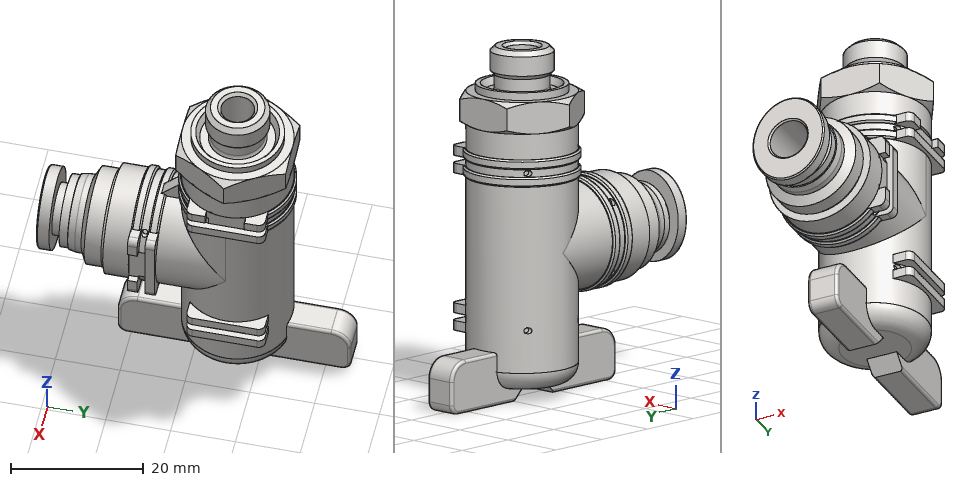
import cadquery as cq
import math


barrel_diameter = 17.0
barrel_radius = barrel_diameter / 2
barrel_bottom = -17.95
branch_end = 18.95

hex_flats = barrel_diameter
hex_bottom = 18.95
hex_top = 23.85
hex_chamfer_angle = 30
seat_radius = 7.05
seat_top = 25.05
seat_recess_top_radius = 6.3
seat_recess_depth = 1.7
neck_radius = 4.2
neck_fillet = 1.25
thread_radius = 4.85
thread_start = 27.1
thread_top = 30.8
thread_chamfer = 0.75
thread_runout = thread_radius - neck_radius
nipple_bore_radius = 2.55
nipple_bore_depth = 16.2
bore_chamfer = 0.5

cartridge_radius = 7.55
cartridge_chamfer = 0.5
cartridge_shoulder_start = 22.0
cartridge_shoulder_end = 22.8
nose_radius = 6.05
nose_taper_start = 23.8
nose_taper_end = 25.0
nose_taper_radius = 5.8
tip_radius = 5.6
tip_end = 26.35
sleeve_radius = 4.05
collar_start = 27.8
collar_end = 29.8
collar_half_width = 6.0
collar_half_height = 7.0
collar_chamfer = 0.2
tube_bore_radius = 3.15
tube_bore_depth = 16.2
tube_bore_chamfer = 0.25

clip_distance = 12.9
foot_clip_distance = 11.4
clip_width = 4.2
clip_band_width = 1.5
ring_height = 0.405
ring_chamfer = 0.25
tab_half_length = 6.05
tab_face = 9.05
tab_corner_radius = 1.0
tab_floor = tab_face - tab_corner_radius
tab_notch_half_length = tab_half_length / 2
hole_radius = 0.46
hole_offset = 5.5
hole_depth = 0.55

gusset_width = 2.0
gusset_reach = 11.9

cap_radius = barrel_radius
cap_fillet = 3.0
cap_bottom = barrel_bottom - cap_fillet
wing_half_span = 17.95
wing_width = 5.0
wing_top = -15.0
wing_bottom = -23.15
wing_upper_radius = 3.0
wing_lower_radius = 1.5
wing_edge_fillet = 0.5
wing_gap_half_length = 2.25


def along_stem(shape):
    """Leave a shape built along +Z on the stem axis."""
    return shape


def along_branch(shape):
    """Turn a shape built along +Z onto the branch axis, keeping +X in place."""
    return shape.rotate((0, 0, 0), (1, 0, 0), 90)


def cylinder(radius, start, end):
    return cq.Workplane("XY").workplane(offset=start).circle(radius).extrude(end - start)


def block(x_range, y_range, z_range):
    size = [high - low for low, high in (x_range, y_range, z_range)]
    corner = (x_range[0], y_range[0], z_range[0])
    return cq.Workplane("XY").box(*size, centered=False).translate(corner)


def revolve_about_z(outline):
    return outline.close().revolve(360, (0, 0, 0), (0, 1, 0))


def make_hexagon():
    """Hexagon across the barrel, with both ends chamfered down to its flats."""
    corner_radius = hex_flats / 2 / math.cos(math.radians(30))
    drop = (corner_radius - hex_flats / 2) * math.tan(math.radians(hex_chamfer_angle))
    prism = (
        cq.Workplane("XY")
        .workplane(offset=hex_bottom)
        .polygon(6, 2 * corner_radius)
        .extrude(hex_top - hex_bottom)
    )
    envelope = revolve_about_z(
        cq.Workplane("XZ")
        .moveTo(0, hex_bottom)
        .lineTo(hex_flats / 2, hex_bottom)
        .lineTo(corner_radius, hex_bottom + drop)
        .lineTo(corner_radius, hex_top - drop)
        .lineTo(hex_flats / 2, hex_top)
        .lineTo(0, hex_top)
    )
    return prism.intersect(envelope)


def make_nipple():
    """Seat with a ring-shaped recess around the neck, then the thread."""
    recess_floor = seat_top - seat_recess_depth
    recess_floor_radius = neck_radius + neck_fillet
    fillet_middle = neck_fillet * (1 - math.sqrt(0.5))
    return revolve_about_z(
        cq.Workplane("XZ")
        .moveTo(0, hex_bottom)
        .lineTo(seat_radius, hex_bottom)
        .lineTo(seat_radius, seat_top)
        .lineTo(seat_recess_top_radius, seat_top)
        .lineTo(recess_floor_radius, recess_floor)
        .threePointArc(
            (neck_radius + fillet_middle, recess_floor + fillet_middle),
            (neck_radius, recess_floor + neck_fillet),
        )
        .lineTo(neck_radius, thread_start - thread_runout)
        .lineTo(thread_radius, thread_start)
        .lineTo(thread_radius, thread_top - thread_chamfer)
        .lineTo(thread_radius - thread_chamfer, thread_top)
        .lineTo(0, thread_top)
    )


def make_cartridge():
    """Stepped push-in cartridge and the sleeve that carries the collar."""
    return revolve_about_z(
        cq.Workplane("XZ")
        .moveTo(0, 0)
        .lineTo(cartridge_radius - cartridge_chamfer, 0)
        .lineTo(cartridge_radius - cartridge_chamfer, branch_end)
        .lineTo(cartridge_radius, branch_end + cartridge_chamfer)
        .lineTo(cartridge_radius, cartridge_shoulder_start)
        .lineTo(nose_radius, cartridge_shoulder_end)
        .lineTo(nose_radius, nose_taper_start)
        .lineTo(nose_taper_radius, nose_taper_end)
        .lineTo(tip_radius, nose_taper_end)
        .lineTo(tip_radius, tip_end)
        .lineTo(sleeve_radius, tip_end)
        .lineTo(sleeve_radius, collar_start)
        .lineTo(0, collar_start)
    )


def make_collar():
    """Oval release collar at the end of the sleeve."""
    return (
        cq.Workplane("XY")
        .workplane(offset=collar_start)
        .ellipse(collar_half_width, collar_half_height)
        .extrude(collar_end - collar_start)
        .faces(">Z")
        .chamfer(collar_chamfer)
    )


def make_bore(radius, end, depth, chamfer):
    """Blind bore with a chamfered mouth, opening towards +Z."""
    return revolve_about_z(
        cq.Workplane("XZ")
        .moveTo(0, end - depth)
        .lineTo(radius, end - depth)
        .lineTo(radius, end - chamfer)
        .lineTo(radius + chamfer, end)
        .lineTo(0, end)
    )


def band_starts(distance):
    """Lower ends of the two bands of a clip."""
    first = distance - clip_width / 2
    return [first, first + clip_width - clip_band_width]


def make_ring(start):
    """Chamfered band round the barrel."""
    band = cylinder(barrel_radius + ring_height, start, start + clip_band_width)
    return band.edges().chamfer(ring_chamfer)


def make_tab(start):
    """Plate on the +X side of the barrel with its two outer corners rounded."""
    plate = block(
        (0, tab_face),
        (-tab_half_length, tab_half_length),
        (start, start + clip_band_width),
    )
    return plate.edges("|Z and >X").fillet(tab_corner_radius)


def make_tab_floor(distance):
    """Cutter for the flat between the two tabs of a clip."""
    low, high = band_starts(distance)
    return block(
        (tab_floor, tab_face),
        (-tab_half_length, tab_half_length),
        (low + clip_band_width, high),
    )


def make_tab_notch(distance):
    """Cutter for the notch in the middle of the outer tab of a clip."""
    start = band_starts(distance)[1]
    return block(
        (tab_floor, tab_face),
        (-tab_notch_half_length, tab_notch_half_length),
        (start, start + clip_band_width),
    )


def make_clip_holes(distance):
    """Four shallow holes parallel to X, with floors concentric to the barrel."""
    holes = (
        cq.Workplane("YZ")
        .pushPoints([(-hole_offset, distance), (hole_offset, distance)])
        .circle(hole_radius)
        .extrude(barrel_radius, both=True)
    )
    core = cylinder(barrel_radius - hole_depth, distance - hole_radius, distance + hole_radius)
    return holes.cut(core)


def make_gusset():
    """45 degree web from the barrel to the top of the branch."""
    far = barrel_radius + gusset_reach
    return (
        cq.Workplane("YZ")
        .polyline([(0, barrel_radius), (0, 0), (-gusset_reach, 0), (-gusset_reach, far - gusset_reach),
                   (gusset_reach - far, gusset_reach), (0, gusset_reach)])
        .close()
        .extrude(gusset_width / 2, both=True)
    )


def make_housing():
    body = cylinder(barrel_radius, barrel_bottom, hex_bottom)
    body = body.union(along_branch(cylinder(barrel_radius, 0, branch_end)))
    body = body.union(make_hexagon()).union(make_nipple())
    body = body.union(along_branch(make_cartridge().union(make_collar())))
    body = body.union(make_gusset())
    for place in (along_stem, along_branch):
        for start in band_starts(clip_distance):
            body = body.union(place(make_ring(start))).union(place(make_tab(start)))
    for start in band_starts(-foot_clip_distance):
        body = body.union(make_tab(start))
    for place in (along_stem, along_branch):
        body = body.cut(place(make_tab_notch(clip_distance)))
    for place, distance in (
        (along_stem, clip_distance),
        (along_branch, clip_distance),
        (along_stem, -foot_clip_distance),
    ):
        body = body.cut(place(make_tab_floor(distance)))
        body = body.cut(place(make_clip_holes(distance)))
    body = body.cut(make_bore(nipple_bore_radius, thread_top, nipple_bore_depth, bore_chamfer))
    tube_bore = make_bore(tube_bore_radius, collar_end, tube_bore_depth, tube_bore_chamfer)
    return body.cut(along_branch(tube_bore))


def make_cap():
    """Disc with a full-height rounded lower edge."""
    flat_radius = cap_radius - cap_fillet
    middle = cap_fillet * math.sqrt(0.5)
    return revolve_about_z(
        cq.Workplane("XZ")
        .moveTo(0, barrel_bottom)
        .lineTo(cap_radius, barrel_bottom)
        .threePointArc(
            (flat_radius + middle, barrel_bottom - middle),
            (flat_radius, cap_bottom),
        )
        .lineTo(0, cap_bottom)
    )


def make_wings():
    """Bar with rounded ends, hollowed for the barrel and notched below the cap."""
    bar = block(
        (-wing_width / 2, wing_width / 2),
        (-wing_half_span, wing_half_span),
        (wing_bottom, wing_top),
    )
    bar = bar.edges("|X and >Z").fillet(wing_upper_radius)
    bar = bar.edges("|X and <Z").fillet(wing_lower_radius)
    bar = bar.faces("<X or >X").edges().fillet(wing_edge_fillet)
    gap_depth = cap_bottom - wing_bottom
    gap_lower_half = wing_gap_half_length + gap_depth
    gap = (
        cq.Workplane("YZ")
        .polyline([(-wing_gap_half_length, cap_bottom), (wing_gap_half_length, cap_bottom),
                   (gap_lower_half, wing_bottom), (-gap_lower_half, wing_bottom)])
        .close()
        .extrude(wing_width, both=True)
    )
    return bar.cut(gap).cut(cylinder(barrel_radius, barrel_bottom, wing_top))


def make_handle():
    return make_cap().union(make_wings())


housing = make_housing()
handle = make_handle()

result = cq.Compound.makeCompound([housing.val(), handle.val()])